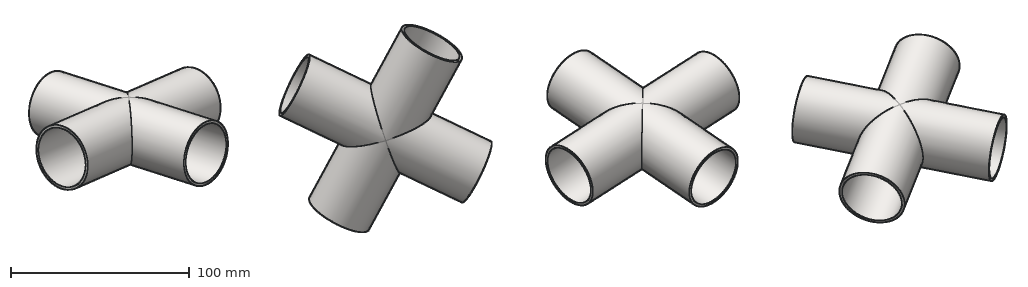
import cadquery as cq

run_length = 114.3
outer_diameter = 38.1
bore_diameter = 34.7


def crossed_cylinders(diameter):
    """Two full-length cylinders along X and Y, crossing at the origin."""
    along_x = cq.Workplane("YZ").circle(diameter / 2).extrude(run_length / 2, both=True)
    along_y = cq.Workplane("XZ").circle(diameter / 2).extrude(run_length / 2, both=True)
    return along_x.union(along_y)


result = crossed_cylinders(outer_diameter).cut(crossed_cylinders(bore_diameter))